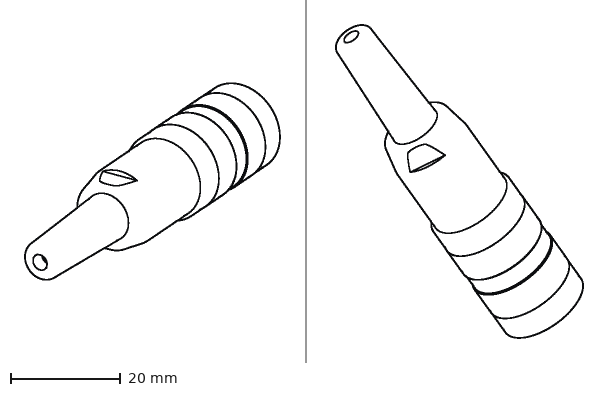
import cadquery as cq

total_length = 68.5

sleeve_diameter = 16.9
sleeve_end = 26.0
sleeve_edge_fillet = 0.35

band_diameter = 17.0
band_width = 6.0
band_starts = (5.0, 14.85)
groove_diameter = 16.6
groove_wall_length = 0.2

barrel_diameter = 15.5
barrel_end = 39.8
nose_end_diameter = 13.35
nose_end = 45.7
nose_fillet = 0.95

flat_start = 41.25
flat_spacing = 13.0

boot_root_diameter = 9.3
boot_tip_diameter = 7.5
boot_fillet = 1.15
cable_hole_diameter = 3.0
cable_hole_depth = 3.0


def revolve_about_y(outline):
    """Revolve (radius, station) points about the Y axis."""
    points = [(radius, -station) for radius, station in outline]
    return cq.Workplane("XY").polyline(points).close().revolve(360, (0, 0), (0, 1))


def section(start, end, start_diameter, end_diameter):
    """A round section between two stations, tapered if the diameters differ."""
    return revolve_about_y([
        (0, start),
        (start_diameter / 2, start),
        (end_diameter / 2, end),
        (0, end),
    ])


def make_sleeve():
    sleeve = section(0, sleeve_end, sleeve_diameter, sleeve_diameter)
    sleeve = sleeve.faces("<Y").edges().fillet(sleeve_edge_fillet)
    for start in band_starts:
        sleeve = sleeve.union(section(start, start + band_width, band_diameter, band_diameter))
    return sleeve.cut(make_groove())


def make_groove():
    """The ring of material removed between the two bands."""
    groove_start = band_starts[0] + band_width
    groove_end = band_starts[1]
    return revolve_about_y([
        (band_diameter / 2, groove_start),
        (groove_diameter / 2, groove_start + groove_wall_length),
        (groove_diameter / 2, groove_end - groove_wall_length),
        (band_diameter / 2, groove_end),
    ])


def make_nose():
    nose = section(barrel_end, nose_end, barrel_diameter, nose_end_diameter)
    nose = nose.faces("<Y").edges().fillet(nose_fillet)
    flat_length = nose_end - flat_start
    cutter = cq.Workplane("XY").box(barrel_diameter, flat_length, barrel_diameter)
    cutter_y = -(flat_start + flat_length / 2)
    cutter_z = (flat_spacing + barrel_diameter) / 2
    for side in (1, -1):
        nose = nose.cut(cutter.translate((0, cutter_y, side * cutter_z)))
    return nose


def make_boot():
    boot = section(nose_end, total_length, boot_root_diameter, boot_tip_diameter)
    boot = boot.faces("<Y").edges().fillet(boot_fillet)
    hole_start = total_length - cable_hole_depth
    return boot.cut(section(hole_start, total_length, cable_hole_diameter, cable_hole_diameter))


barrel = section(sleeve_end, barrel_end, barrel_diameter, barrel_diameter)
plug = make_sleeve().union(barrel).union(make_nose()).union(make_boot())
result = plug.translate((0, total_length / 2, 0))